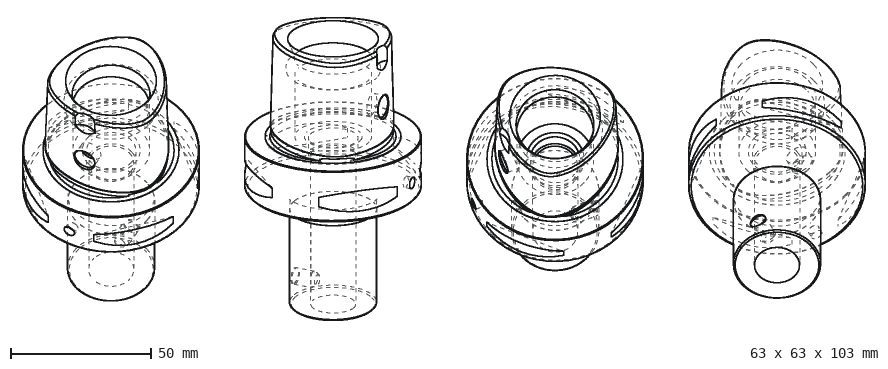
import cadquery as cq
import math

TOTAL_HEIGHT = 103.0
FLANGE_BOTTOM = 45.1
FLANGE_TOP = 65.1

FLANGE_RADIUS = 31.5
FLANGE_TOP_CHAMFER = 0.3
FLANGE_BOTTOM_CHAMFER = 0.9

STEM_RADIUS = 15.6
STEM_CHAMFER = 0.6
NECK_RELIEF = 0.1
NECK_BOTTOM = 37.1
NECK_RADIUS = STEM_RADIUS - NECK_RELIEF
NECK_FILLET = 5.0

LOBE_RADIUS = 22.0
LOBE_ECCENTRICITY = 1.4
TAPER_PER_SIDE = 1 / 40
TAPER_BOTTOM = 67.9
LAND_BOTTOM = 67.3
SHANK_NECK_RELIEF = 0.2
SHANK_CHAMFER_HEIGHT = 1.3
SHANK_CHAMFER_WIDTH = 0.7
OUTLINE_POINTS = 72

RING_GROOVE_RADIUS = 23.4
RING_GROOVE_Z = 65.4
RING_GROOVE_SECTION = 0.9

MOUTH_RADIUS = 16.2
MOUTH_CHAMFER_RADIUS = 15.3
MOUTH_CHAMFER_DEPTH = 1.6
LIP_RADIUS = 13.9
BORE_RADIUS = 13.7
LEAD_IN_DEPTH = 6.4
LIP_DEPTH = 7.6
CLAMP_GROOVE_RADIUS = 16.8
CLAMP_GROOVE_TOP_DEPTH = 10.6
CLAMP_GROOVE_BOTTOM_DEPTH = 11.9
CLAMP_GROOVE_FILLET = 0.9
CLAMP_CONE_DEPTH = 13.7
STEP_CHAMFER_RADIUS = 10.3
STEP_RADIUS = 8.9
STEP_LENGTH = 6.2
STEP_CONE_SLOPE = 20
THROUGH_RADIUS = 8.0

GRIP_COUNT = 4
GRIP_FIRST_ANGLE = 45
GRIP_Z = 53.0
GRIP_FLAT_DISTANCE = 27.8
GRIP_FLAT_HEIGHT = 3.6
GRIP_SLOPE = 30
GRIP_FILLET = 0.5

NOTCH_RADIUS = 6.0
NOTCH_WALL_Y = -18.0
NOTCH_SHOULDER_Z = 96.8

DRILL_POINT_ANGLE = 140
SHANK_HOLE_Z = 80.5
SHANK_HOLE_RADIUS = 4.0
SHANK_HOLE_WALL_END = 15.3
COUNTERSINK_START = 19.8
FLANGE_HOLE_Z = GRIP_Z
FLANGE_HOLE_RADIUS = 2.1
FLANGE_HOLE_WALL_END = 28.8

SCREW_Z = 8.0
SCREW_RADIUS = 3.0
SCREW_TIP_Y = 6.4
SCREW_HEAD_Y = 14.9
SCREW_TIP_RADIUS = 2.2
SCREW_TIP_LENGTH = 2.8


def shank_outline(radius, z):
    """Closed wire of constant-width curve with three lobes, one of them toward +Y."""
    points = []
    for i in range(OUTLINE_POINTS):
        angle = 2 * math.pi * i / OUTLINE_POINTS
        reach = radius + LOBE_ECCENTRICITY * math.cos(3 * angle)
        drift = 3 * LOBE_ECCENTRICITY * math.sin(3 * angle)
        x = drift * math.cos(angle) - reach * math.sin(angle)
        y = reach * math.cos(angle) + drift * math.sin(angle)
        points.append(cq.Vector(x, y, z))
    return cq.Wire.assembleEdges([cq.Edge.makeSpline(points, periodic=True)])


def shank_section(bottom_radius, bottom_z, top_radius, top_z):
    """Slice of the shank with straight walls between two parallel outlines."""
    lower = shank_outline(bottom_radius, bottom_z)
    upper = shank_outline(top_radius, top_z)
    return cq.Workplane(cq.Solid.makeLoft([lower, upper], True))


def make_shank():
    """Relieved neck, straight land, taper and top chamfer, stacked upward from the flange."""
    chamfer_z = TOTAL_HEIGHT - SHANK_CHAMFER_HEIGHT
    taper_top_radius = LOBE_RADIUS - TAPER_PER_SIDE * (chamfer_z - TAPER_BOTTOM)
    neck_radius = LOBE_RADIUS - SHANK_NECK_RELIEF
    neck = shank_section(neck_radius, FLANGE_TOP, neck_radius, LAND_BOTTOM)
    land = shank_section(LOBE_RADIUS, LAND_BOTTOM, LOBE_RADIUS, TAPER_BOTTOM)
    taper = shank_section(LOBE_RADIUS, TAPER_BOTTOM, taper_top_radius, chamfer_z)
    chamfer = shank_section(
        taper_top_radius, chamfer_z, taper_top_radius - SHANK_CHAMFER_WIDTH, TOTAL_HEIGHT
    )
    return neck.union(land).union(taper).union(chamfer)


def make_flange_and_stem():
    """Body of revolution drawn as (radius, z) in the XZ plane."""
    fillet_z = FLANGE_BOTTOM - NECK_FILLET
    fillet_radius = NECK_RADIUS + NECK_FILLET
    fillet_middle = (
        fillet_radius - NECK_FILLET * math.cos(math.pi / 4),
        fillet_z + NECK_FILLET * math.sin(math.pi / 4),
    )
    return (
        cq.Workplane("XZ")
        .moveTo(0, 0)
        .lineTo(STEM_RADIUS - STEM_CHAMFER, 0)
        .lineTo(STEM_RADIUS, STEM_CHAMFER)
        .lineTo(STEM_RADIUS, NECK_BOTTOM)
        .lineTo(NECK_RADIUS, NECK_BOTTOM)
        .lineTo(NECK_RADIUS, fillet_z)
        .threePointArc(fillet_middle, (fillet_radius, FLANGE_BOTTOM))
        .lineTo(FLANGE_RADIUS - FLANGE_BOTTOM_CHAMFER, FLANGE_BOTTOM)
        .lineTo(FLANGE_RADIUS, FLANGE_BOTTOM + FLANGE_BOTTOM_CHAMFER)
        .lineTo(FLANGE_RADIUS, FLANGE_TOP - FLANGE_TOP_CHAMFER)
        .lineTo(FLANGE_RADIUS - FLANGE_TOP_CHAMFER, FLANGE_TOP)
        .lineTo(0, FLANGE_TOP)
        .close()
        .revolve(360, (0, 0, 0), (0, 1, 0))
    )


def make_bore():
    """Stepped bore with the clamping groove, drawn as (radius, z) in the XZ plane."""
    floor_z = FLANGE_TOP
    cone_drop = math.tan(math.radians(STEP_CONE_SLOPE))
    step_top_z = floor_z - (STEP_CHAMFER_RADIUS - STEP_RADIUS) * cone_drop
    step_bottom_z = step_top_z - STEP_LENGTH
    through_top_z = step_bottom_z - (STEP_RADIUS - THROUGH_RADIUS) * cone_drop
    groove_top_z = TOTAL_HEIGHT - CLAMP_GROOVE_TOP_DEPTH
    groove_bottom_z = TOTAL_HEIGHT - CLAMP_GROOVE_BOTTOM_DEPTH
    cone_bottom_z = TOTAL_HEIGHT - CLAMP_CONE_DEPTH
    cone_top_radius = CLAMP_GROOVE_RADIUS - CLAMP_GROOVE_FILLET
    cone_top_z = groove_bottom_z - CLAMP_GROOVE_FILLET
    lower_fillet_middle = (
        cone_top_radius + CLAMP_GROOVE_FILLET * math.cos(math.pi / 4),
        groove_bottom_z - CLAMP_GROOVE_FILLET * math.sin(math.pi / 4),
    )
    top_fillet_middle = (
        cone_top_radius + CLAMP_GROOVE_FILLET * math.cos(math.pi / 8),
        groove_top_z + CLAMP_GROOVE_FILLET * math.sin(math.pi / 8),
    )
    top_fillet_end = (
        cone_top_radius + CLAMP_GROOVE_FILLET * math.cos(math.pi / 4),
        groove_top_z + CLAMP_GROOVE_FILLET * math.sin(math.pi / 4),
    )
    return (
        cq.Workplane("XZ")
        .moveTo(0, 0)
        .lineTo(THROUGH_RADIUS, 0)
        .lineTo(THROUGH_RADIUS, through_top_z)
        .lineTo(STEP_RADIUS, step_bottom_z)
        .lineTo(STEP_RADIUS, step_top_z)
        .lineTo(STEP_CHAMFER_RADIUS, floor_z)
        .lineTo(BORE_RADIUS, floor_z)
        .lineTo(BORE_RADIUS, cone_bottom_z)
        .lineTo(cone_top_radius, cone_top_z)
        .threePointArc(lower_fillet_middle, (CLAMP_GROOVE_RADIUS, groove_bottom_z))
        .lineTo(CLAMP_GROOVE_RADIUS, groove_top_z)
        .threePointArc(top_fillet_middle, top_fillet_end)
        .lineTo(LIP_RADIUS, TOTAL_HEIGHT - LIP_DEPTH)
        .lineTo(LIP_RADIUS, TOTAL_HEIGHT - LEAD_IN_DEPTH)
        .lineTo(MOUTH_CHAMFER_RADIUS, TOTAL_HEIGHT - MOUTH_CHAMFER_DEPTH)
        .lineTo(MOUTH_RADIUS, TOTAL_HEIGHT)
        .lineTo(0, TOTAL_HEIGHT)
        .close()
        .revolve(360, (0, 0, 0), (0, 1, 0))
    )


def make_ring_groove():
    """Round groove that sinks into the flange face and undercuts the lobes."""
    return cq.Workplane(
        cq.Solid.makeTorus(RING_GROOVE_RADIUS, RING_GROOVE_SECTION, cq.Vector(0, 0, RING_GROOVE_Z))
    )


def make_grip_groove():
    """Straight groove along Y with a flat floor facing +X and sloped flanks."""
    depth = FLANGE_RADIUS - GRIP_FLAT_DISTANCE
    half_floor = GRIP_FLAT_HEIGHT / 2
    half_mouth = half_floor + depth * math.tan(math.radians(GRIP_SLOPE))
    return (
        cq.Workplane("XZ")
        .moveTo(GRIP_FLAT_DISTANCE, GRIP_Z - half_floor)
        .lineTo(FLANGE_RADIUS, GRIP_Z - half_mouth)
        .lineTo(FLANGE_RADIUS, GRIP_Z + half_mouth)
        .lineTo(GRIP_FLAT_DISTANCE, GRIP_Z + half_floor)
        .close()
        .extrude(FLANGE_RADIUS, both=True)
        .edges("|Y and <X")
        .fillet(GRIP_FILLET)
    )


def make_drive_notch():
    """Vertical round cutter with a 45 degree point, open at the top face."""
    center_y = NOTCH_WALL_Y - NOTCH_RADIUS
    return (
        cq.Workplane("XZ", origin=(0, center_y, 0))
        .moveTo(0, TOTAL_HEIGHT)
        .lineTo(NOTCH_RADIUS, TOTAL_HEIGHT)
        .lineTo(NOTCH_RADIUS, NOTCH_SHOULDER_Z)
        .lineTo(0, NOTCH_SHOULDER_Z - NOTCH_RADIUS)
        .close()
        .revolve(360, (0, 0, 0), (0, 1, 0))
    )


def make_drilled_hole(radius, z, wall_end):
    """Hole drilled inward from -Y; its straight wall ends at y = -wall_end, then the drill point."""
    point_length = radius / math.tan(math.radians(DRILL_POINT_ANGLE / 2))
    return (
        cq.Workplane("XY", origin=(0, 0, z))
        .moveTo(0, -FLANGE_RADIUS)
        .lineTo(radius, -FLANGE_RADIUS)
        .lineTo(radius, -wall_end)
        .lineTo(0, point_length - wall_end)
        .close()
        .revolve(360, (0, 0, 0), (0, 1, 0))
    )


def make_countersink():
    """45 degree cone that widens outward from the wall of the shank hole."""
    depth = FLANGE_RADIUS - COUNTERSINK_START
    cone = cq.Solid.makeCone(
        SHANK_HOLE_RADIUS,
        SHANK_HOLE_RADIUS + depth,
        depth,
        cq.Vector(0, -COUNTERSINK_START, SHANK_HOLE_Z),
        cq.Vector(0, -1, 0),
    )
    return cq.Workplane(cone)


def make_screw_hole():
    """Hole through the stem wall on the +Y side, as wide as the set screw."""
    return cq.Workplane("XZ", origin=(0, 0, SCREW_Z)).circle(SCREW_RADIUS).extrude(-FLANGE_RADIUS)


def make_holder():
    holder = make_flange_and_stem().union(make_shank()).cut(make_bore()).cut(make_ring_groove())
    for i in range(GRIP_COUNT):
        angle = GRIP_FIRST_ANGLE + i * 360 / GRIP_COUNT
        holder = holder.cut(make_grip_groove().rotate((0, 0, 0), (0, 0, 1), angle))
    holder = holder.cut(make_drive_notch())
    holder = holder.cut(make_drilled_hole(SHANK_HOLE_RADIUS, SHANK_HOLE_Z, SHANK_HOLE_WALL_END))
    holder = holder.cut(make_countersink())
    holder = holder.cut(make_drilled_hole(FLANGE_HOLE_RADIUS, FLANGE_HOLE_Z, FLANGE_HOLE_WALL_END))
    return holder.cut(make_screw_hole())


def make_set_screw():
    """Screw through the stem wall on the +Y side, its tapered tip standing into the bore."""
    return (
        cq.Workplane("XY", origin=(0, 0, SCREW_Z))
        .moveTo(0, SCREW_HEAD_Y)
        .lineTo(SCREW_RADIUS, SCREW_HEAD_Y)
        .lineTo(SCREW_RADIUS, SCREW_TIP_Y + SCREW_TIP_LENGTH)
        .lineTo(SCREW_TIP_RADIUS, SCREW_TIP_Y)
        .lineTo(0, SCREW_TIP_Y)
        .close()
        .revolve(360, (0, 0, 0), (0, 1, 0))
    )


holder = make_holder()
set_screw = make_set_screw()

result = cq.Compound.makeCompound([holder.val(), set_screw.val()])